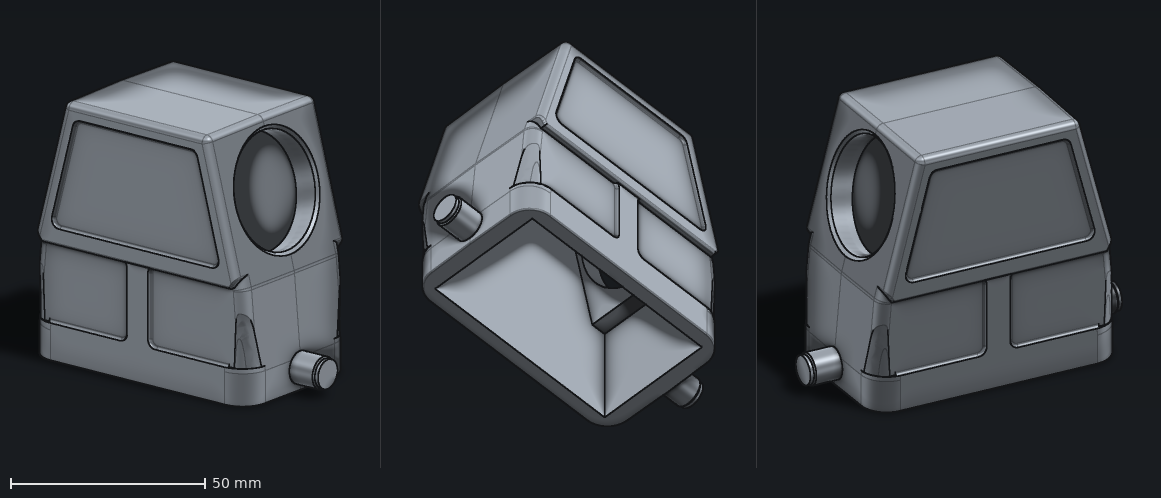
import cadquery as cq
import math

height = 72.0
pin_span = 91.1
hood_half_depth = 22.5
body_half_depth = 21.6
panel_half_depth = 20.7
draft = 0.7

base_half_width = 36.4
shoulder_half_width = 34.4
top_half_width = 23.8
base_top_z = 9.1
shoulder_z = 31.8
shoulder_round = 4.6

hood_bottom_z = 32.1
hood_bottom_half_width = 31.3
hood_corner_z = 35.4
hood_round = 2.0
hood_lip_round = 0.7

body_corner_radius = 7.5
panel_corner_radius = 3.4
flare_half_width = 36.4
flare_half_depth = 21.1
flare_corner_radius = 7.7
flare_top_half_width = 34.9
post_half_width = 34.4
flare_top_z = 27.3
bottom_edge_round = 0.4

panel_bottom_z = 10.3
pillar_half_width = 3.5
panel_outline_radius = 2.4
recess_floor_round = 0.8

window_bottom_z = 36.7
window_top_z = 67.4
window_margin = 4.8
window_radius = 2.4
window_depth = 0.9

pin_z = 6.3
pin_diameter = 8.8
pin_tip_diameter = 8.0
pin_tip_length = 1.1
pin_edge_chamfer = 0.5

entry_diameter = 32.0
entry_rim_diameter = 34.1
entry_rim_depth = 1.0
entry_x = 28.9
entry_wall = 7.5

wall = 3.2
cavity_half_depth = panel_half_depth - wall
entry_ledge_z = 31.9

slope_run = (shoulder_half_width - top_half_width) / (height - shoulder_z)
slope_angle = math.degrees(math.atan(slope_run))
overlap = 4.6


def slope_half_width(z):
    """Half width in X of the sloping upper end walls at height z."""
    return top_half_width + slope_run * (height - z)


def mirrored_outline(right_points):
    """Closed XZ outline from its right-hand points, listed from bottom to top."""
    left_points = [(-x, z) for x, z in reversed(right_points)]
    return cq.Workplane("XZ").polyline(right_points + left_points).close()


def drafted_half(right_points, half_depth):
    """Extrude an outline from y = 0 to the front (-Y), narrowing by the draft angle."""
    return mirrored_outline(right_points).extrude(half_depth, taper=draft)


def flat_prism(outline, front_depth, back_depth):
    """Straight prism of an XZ outline between two distances in front of y = 0."""
    return outline.extrude(front_depth - back_depth).translate((0, -back_depth, 0))


def mirrored_in_x(shape):
    """The shape together with its mirror image across x = 0."""
    return shape.union(shape.mirror("YZ"))


def slant_selector(side):
    """Selects the slanted lower corner face on one side of the hood."""
    mid_x = (hood_bottom_half_width + slope_half_width(hood_corner_z)) / 2
    mid_z = (hood_bottom_z + hood_corner_z) / 2
    return cq.selectors.NearestToPointSelector((side * mid_x, -hood_half_depth / 2, mid_z))


def hood_blank():
    """Wedge with rounded roof and front edges, ending in slanted lower corners."""
    blank_bottom_z = hood_bottom_z - overlap
    outline = [
        (slope_half_width(blank_bottom_z), blank_bottom_z),
        (top_half_width, height),
    ]
    blank = drafted_half(outline, hood_half_depth)
    front_edges = blank.faces("<Y").edges("not <Z")
    roof_end_edges = blank.faces(">Z").edges("not |X")
    blank = front_edges.add(roof_end_edges).fillet(hood_round)

    clear_half_width = base_half_width + overlap
    clip_outline = [
        (hood_bottom_half_width, hood_bottom_z),
        (slope_half_width(hood_corner_z), hood_corner_z),
        (clear_half_width, hood_corner_z),
        (clear_half_width, height + overlap),
    ]
    blank = blank.intersect(flat_prism(mirrored_outline(clip_outline), hood_half_depth + overlap, 0))
    lip_edges = blank.faces("<Z").edges("<Y")
    for corner_side in (-1, 1):
        slant = blank.faces(slant_selector(corner_side))
        lip_edges = lip_edges.add(slant.edges("<Y")).add(slant.edges("%ELLIPSE"))
    return lip_edges.fillet(hood_lip_round)


def window_recess():
    """Cutter for the shallow trapezoid in the hood front."""
    outline = [
        (slope_half_width(window_bottom_z) - window_margin, window_bottom_z),
        (slope_half_width(window_top_z) - window_margin, window_top_z),
    ]
    floor_depth = hood_half_depth - window_depth
    cutter = flat_prism(mirrored_outline(outline), hood_half_depth + overlap, floor_depth)
    return cutter.edges("|Y").fillet(window_radius).faces(">Y").edges().fillet(recess_floor_round)


def hood():
    return hood_blank().cut(window_recess())


def below_ground():
    """Block that trims the drafted body flat at z = 0."""
    side = 2 * (base_half_width + overlap)
    return cq.Workplane("XY").box(side, side, 2 * overlap, centered=(True, True, False)).translate(
        (0, 0, -2 * overlap)
    )


def shoulder_box():
    """Selects the edges that run along Y at the shoulder."""
    return cq.selectors.BoxSelector(
        (-base_half_width, -body_half_depth + 0.9, shoulder_z - 0.9),
        (base_half_width, -0.9, shoulder_z + 0.9),
    )


def body_blank(half_depth):
    """Drafted body from the bottom up into the hood, with the shoulder rounded."""
    buried_z = hood_corner_z + overlap
    outline = [
        (base_half_width, -overlap),
        (base_half_width, base_top_z),
        (shoulder_half_width, shoulder_z),
        (slope_half_width(buried_z), buried_z),
    ]
    blank = drafted_half(outline, half_depth)
    return blank.edges(shoulder_box()).fillet(shoulder_round)


def panel_core():
    """The body inside the panels: flat to the panel floors, with tighter corners."""
    core = body_blank(panel_half_depth)
    corner_edges = core.faces("<Y").edges("not |X")
    return corner_edges.fillet(panel_corner_radius)


def panel_recess():
    """Cutter for the right-hand panel, running out through the body corner."""
    outer_x = base_half_width + overlap
    panel_top_z = hood_bottom_z + recess_floor_round
    cutter = (
        cq.Workplane("XZ")
        .moveTo(pillar_half_width, panel_bottom_z)
        .lineTo(outer_x, panel_bottom_z)
        .lineTo(outer_x, panel_top_z)
        .lineTo(pillar_half_width, panel_top_z)
        .close()
    )
    cutter = flat_prism(cutter, body_half_depth + overlap, panel_half_depth)
    cutter = cutter.edges("|Y and <X").fillet(panel_outline_radius)
    cutter = cutter.faces(">Y").edges("not >X").edges("not >Z").fillet(recess_floor_round)

    corner_x = base_half_width - 2 * panel_corner_radius
    corner_size = overlap + 2 * panel_corner_radius
    corner = cq.Workplane("XY").box(
        corner_size, body_half_depth + 2 * overlap, hood_corner_z + 2 * overlap - panel_bottom_z, centered=False
    )
    corner = corner.translate((corner_x, -body_half_depth - overlap, panel_bottom_z))
    return cutter.union(corner)


def rounded_plan(half_width, half_depth, corner_radius, z):
    """Rectangle with rounded corners at height z."""
    plan = cq.Sketch().rect(2 * half_width, 2 * half_depth).vertices().fillet(corner_radius)
    return plan.moved(cq.Location((0, 0, z)))


def corner_trim():
    """Trims the body above the base: a flare to the shoulder, around straight corner posts."""
    wide_plan = (flare_half_width, flare_half_depth, flare_corner_radius)
    narrow_plan = (flare_top_half_width, panel_half_depth, panel_corner_radius)
    post_plan = (post_half_width, panel_half_depth, panel_corner_radius)
    flare = (
        cq.Workplane("XY")
        .placeSketch(rounded_plan(*wide_plan, panel_bottom_z), rounded_plan(*narrow_plan, flare_top_z))
        .loft()
    )
    upper = (
        cq.Workplane("XY")
        .placeSketch(rounded_plan(*narrow_plan, flare_top_z))
        .extrude(height - flare_top_z)
    )
    posts = (
        cq.Workplane("XY")
        .placeSketch(rounded_plan(*post_plan, panel_bottom_z))
        .extrude(height - panel_bottom_z)
    )
    return flare.union(upper).union(posts)


def body():
    """Base band and pillar around the core that carries the panel floors."""
    outline = [
        (base_half_width, -overlap),
        (base_half_width, base_top_z),
        (shoulder_half_width, shoulder_z),
        (shoulder_half_width, hood_bottom_z + overlap),
    ]
    frame = drafted_half(outline, body_half_depth)
    frame = frame.faces("<Y").edges("not |X").fillet(body_corner_radius)
    frame = frame.cut(below_ground())
    frame = frame.faces("<Z").edges("not >Y").fillet(bottom_edge_round)
    recess = panel_recess()
    frame = frame.cut(recess).cut(recess.mirror("YZ"))
    return frame.union(panel_core().intersect(corner_trim()))


def pin():
    """Locking pin on the +X side, with a slightly smaller tip."""
    shank_end = pin_span / 2 - pin_tip_length
    start = base_half_width - wall
    shank = (
        cq.Workplane("YZ", origin=(start, 0, pin_z))
        .circle(pin_diameter / 2)
        .extrude(shank_end - start)
        .faces(">X").chamfer(pin_edge_chamfer)
    )
    tip = (
        cq.Workplane("YZ", origin=(shank_end, 0, pin_z))
        .circle(pin_tip_diameter / 2)
        .extrude(pin_tip_length)
    )
    return shank.union(tip)


def cavity():
    """Hollow open at the bottom; the wall is thicker around the cable entry."""
    slope_wall = wall / math.cos(math.radians(slope_angle))
    thick_slope_wall = entry_wall / math.cos(math.radians(slope_angle))
    ceiling_z = height - wall
    outline = [
        (shoulder_half_width - wall, -overlap),
        (shoulder_half_width - wall, entry_ledge_z),
        (slope_half_width(entry_ledge_z) - thick_slope_wall, entry_ledge_z),
        (slope_half_width(ceiling_z) - thick_slope_wall, ceiling_z),
        (slope_wall - slope_half_width(ceiling_z), ceiling_z),
        (wall - shoulder_half_width, shoulder_z),
        (wall - shoulder_half_width, -overlap),
    ]
    return cq.Workplane("XZ").polyline(outline).close().extrude(cavity_half_depth, both=True)


def cable_entry():
    """Bore square to the +X slope, with a conical rim."""
    entry_z = height - (entry_x - top_half_width) / slope_run
    slope_normal = cq.Vector(1, 0, slope_run).normalized()
    mouth = cq.Plane(origin=(entry_x, 0, entry_z), xDir=(0, 1, 0), normal=slope_normal.toTuple())
    bore = (
        cq.Workplane(mouth)
        .workplane(offset=-2 * entry_wall)
        .circle(entry_diameter / 2)
        .extrude(2 * entry_wall + overlap)
    )
    rim = (
        cq.Workplane(mouth)
        .circle(entry_rim_diameter / 2)
        .workplane(offset=-entry_rim_depth)
        .circle(entry_diameter / 2)
        .loft()
    )
    return bore.union(rim)


front_half = hood().union(body())
shell = front_half.union(front_half.mirror("XZ"))
result = shell.union(mirrored_in_x(pin())).cut(cavity()).cut(cable_entry())